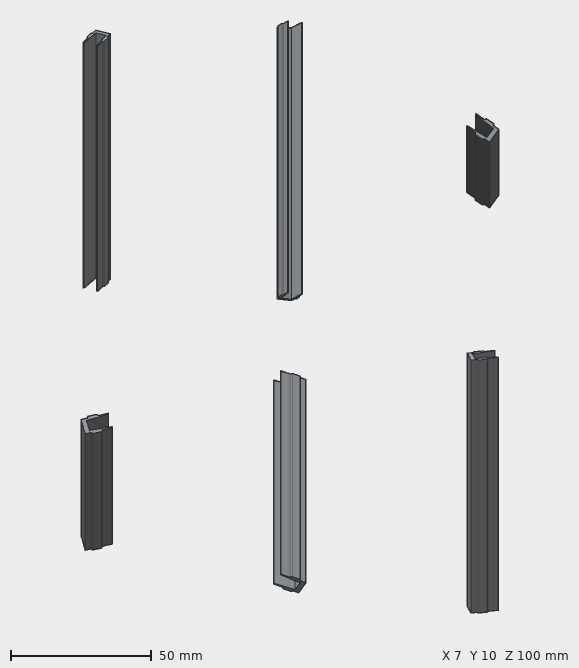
import cadquery as cq

length = 100.0
depth = 10.0
width = 7.0

bulge_half = width / 2
body_half = 2.9
channel_floor_half = 2.0
channel_mouth_half = 2.5

back = depth / 2
mouth = -depth / 2
web_thickness = 1.8
channel_floor = back - web_thickness
bulge_length = 4.2
bulge_top = channel_floor - 0.35
bulge_bottom = bulge_top - bulge_length
step_radius = (bulge_half - body_half) / 2

arc_x = body_half + step_radius
half_profile = (
    cq.Workplane("XY")
    .moveTo(0, back)
    .lineTo(body_half, back)
    .lineTo(body_half, bulge_top)
    .tangentArcPoint((arc_x, bulge_top - step_radius), relative=False)
    .radiusArc((bulge_half, bulge_top - 2 * step_radius), step_radius)
    .lineTo(bulge_half, bulge_bottom + 2 * step_radius)
    .radiusArc((arc_x, bulge_bottom + step_radius), step_radius)
    .tangentArcPoint((body_half, bulge_bottom), relative=False)
    .lineTo(body_half, mouth)
    .lineTo(channel_mouth_half, mouth)
    .lineTo(channel_floor_half, channel_floor)
    .lineTo(0, channel_floor)
)

result = half_profile.mirrorY().extrude(length / 2, both=True)